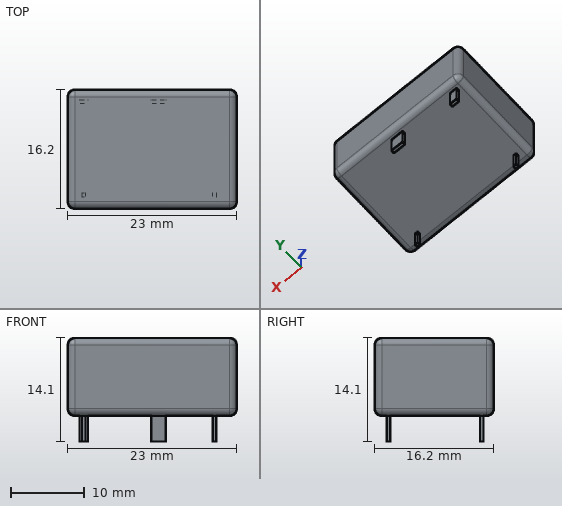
import cadquery as cq

CASE_LENGTH = 23.0
CASE_WIDTH = 16.22
CASE_HEIGHT = 10.6
EDGE_RADIUS = 1.0

PIN_LENGTH = 3.5
PIN_THICKNESS = 0.5
WIDE_PIN_WIDTH = 1.2
BLADE_PIN_WIDTH = 2.0

FRONT_ROW_Y = -6.2
BACK_ROW_Y = 6.46
LEFT_PIN_X = -9.32
BLADE_PIN_X = 0.85
RIGHT_PIN_X = 8.46

PINS = [
    (LEFT_PIN_X, FRONT_ROW_Y, PIN_THICKNESS),
    (RIGHT_PIN_X, FRONT_ROW_Y, PIN_THICKNESS),
    (LEFT_PIN_X, BACK_ROW_Y, WIDE_PIN_WIDTH),
    (BLADE_PIN_X, BACK_ROW_Y, BLADE_PIN_WIDTH),
]


def make_case():
    """Box standing on Z = 0 with every edge rounded."""
    case = cq.Workplane("XY").box(CASE_LENGTH, CASE_WIDTH, CASE_HEIGHT, centered=(True, True, False))
    return case.edges().fillet(EDGE_RADIUS)


def make_pin(x, y, width):
    """Rectangular pin reaching down from the underside of the case."""
    return cq.Workplane("XY").center(x, y).rect(width, PIN_THICKNESS).extrude(-PIN_LENGTH)


result = make_case()
for pin_x, pin_y, pin_width in PINS:
    result = result.union(make_pin(pin_x, pin_y, pin_width))